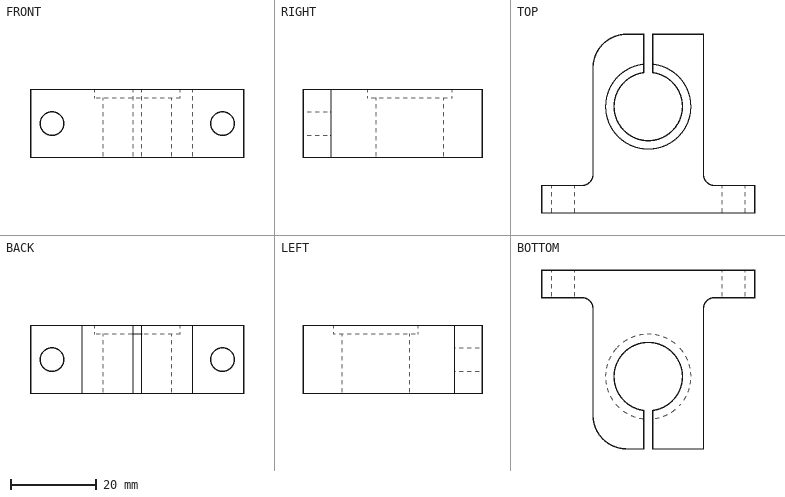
import cadquery as cq

base_length = 50.0
base_thickness = 6.5
part_depth = 16.0

block_width = 26.0
total_height = 42.0
root_fillet = 2.5
corner_radius = 8.0

bore_height = 25.0
bore_diameter = 16.0
counterbore_diameter = 20.0
counterbore_depth = 2.0
slit_width = 2.0

mount_hole_diameter = 5.5
mount_hole_spacing = 40.0


def make_body():
    """Inverted-T body with filleted roots and one rounded top corner."""
    base = cq.Workplane("XY").box(
        base_length, base_thickness, part_depth, centered=(True, False, False)
    )
    block = cq.Workplane("XY").box(
        block_width, total_height, part_depth, centered=(True, False, False)
    )
    block = block.edges("|Z and >Y and <X").fillet(corner_radius)
    body = base.union(block)

    for side in (-1, 1):
        root_point = (side * block_width / 2, base_thickness, part_depth / 2)
        root_edge = cq.selectors.NearestToPointSelector(root_point)
        body = body.edges("|Z").edges(root_edge).fillet(root_fillet)
    return body


def cut_shaft_bore(body):
    """Through bore along Z, counterbored from the upper Z face."""
    return (
        body.faces(">Z")
        .workplane(origin=(0, bore_height, part_depth))
        .cboreHole(bore_diameter, counterbore_diameter, counterbore_depth)
    )


def cut_clamp_slit(body):
    """Slit from the bore out through the top of the block."""
    slit = (
        cq.Workplane("XY")
        .box(slit_width, total_height - bore_height, part_depth, centered=(True, False, False))
        .translate((0, bore_height, 0))
    )
    return body.cut(slit)


def cut_mount_holes(body):
    """Two holes along Y through the base flange."""
    for side in (-1, 1):
        hole = (
            cq.Workplane("XZ", origin=(side * mount_hole_spacing / 2, 0, part_depth / 2))
            .circle(mount_hole_diameter / 2)
            .extrude(-base_thickness)
        )
        body = body.cut(hole)
    return body


body = make_body()
body = cut_shaft_bore(body)
body = cut_clamp_slit(body)
result = cut_mount_holes(body)